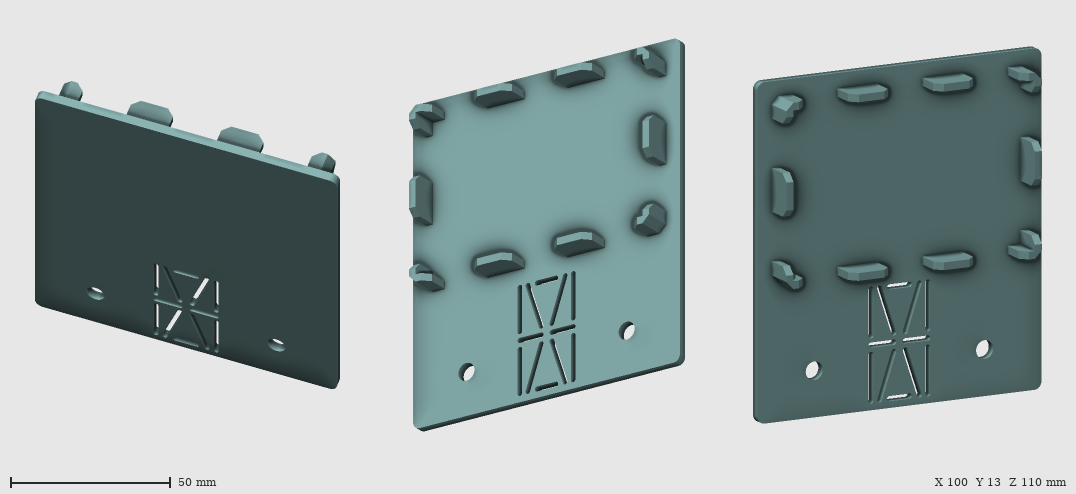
import cadquery as cq
import math

PLATE_WIDTH = 100.0
PLATE_HEIGHT = 110.0
PLATE_THICKNESS = 3.0
PLATE_CORNER_RADIUS = 2.5
MID_X = PLATE_WIDTH / 2

WALL_INSET = 5.0
WALL_THICKNESS = 2.5
WALL_DEPTH = 10.0
WALL_WIDTH = PLATE_WIDTH - 2 * WALL_INSET
WALL_HEIGHT = 60.0
WALL_TOP_Z = PLATE_HEIGHT - WALL_INSET
WALL_MID_Z = WALL_TOP_Z - WALL_HEIGHT / 2
WALL_TIP_Y = PLATE_THICKNESS + WALL_DEPTH
WALL_CORNER_CHAMFER = 2.5

TAB_PITCH = 30.0
TAB_LENGTH = 14.0
GAP_WIDTH = TAB_PITCH - TAB_LENGTH
TAB_CHAMFER = 2.5
GAP_XS = [MID_X + i * TAB_PITCH for i in (-1, 0, 1)]
GAP_ZS = [WALL_MID_Z + i * TAB_PITCH / 2 for i in (-1, 1)]

HOLE_DIAMETER = 6.0
HOLE_SPACING = 60.0
HOLE_Z = 15.0

PATTERN_Z = 21.0
SLOT_WIDTH = 1.68
OUTER_X = 10.0
OUTER_Z = 18.0
MIDDLE_BAR_INNER_X = 2.0
SIDE_SLOT_INNER_Z = 3.0
END_SLOT_HALF_SPAN = 3.5
DIAGONAL_INNER = (2.0, 3.0)
DIAGONAL_OUTER = (7.0, OUTER_Z)


def make_plate():
    plate = cq.Workplane("XY").box(PLATE_WIDTH, PLATE_THICKNESS, PLATE_HEIGHT, centered=False)
    return plate.edges("|Y").fillet(PLATE_CORNER_RADIUS)


def gap_outline(plane_name):
    """Gap profile: u runs along the wall, centred on the gap, v is y."""
    half = GAP_WIDTH / 2
    flared_half = half + TAB_CHAMFER
    flare_y = WALL_TIP_Y - TAB_CHAMFER
    points = [
        (-half, PLATE_THICKNESS),
        (-half, flare_y),
        (-flared_half, WALL_TIP_Y),
        (flared_half, WALL_TIP_Y),
        (half, flare_y),
        (half, PLATE_THICKNESS),
    ]
    if plane_name == "YZ":
        points = [(y, u) for u, y in points]
    return cq.Workplane(plane_name).polyline(points).close()


def make_tabs():
    outer = cq.Workplane("XY").box(WALL_WIDTH, WALL_DEPTH, WALL_HEIGHT)
    outer = outer.edges("|Y").chamfer(WALL_CORNER_CHAMFER)
    inner = cq.Workplane("XY").box(
        WALL_WIDTH - 2 * WALL_THICKNESS, WALL_DEPTH, WALL_HEIGHT - 2 * WALL_THICKNESS
    )
    wall_mid_y = PLATE_THICKNESS + WALL_DEPTH / 2
    tabs = outer.cut(inner).translate((MID_X, wall_mid_y, WALL_MID_Z))

    upright_cutter = gap_outline("XY").extrude(WALL_TOP_Z)
    for x in GAP_XS:
        tabs = tabs.cut(upright_cutter.translate((x, 0, 0)))

    cross_cutter = gap_outline("YZ").extrude(PLATE_WIDTH)
    for z in GAP_ZS:
        tabs = tabs.cut(cross_cutter.translate((0, 0, z)))
    return tabs


def front_face_plane(z):
    """Sketch plane on the front face, centred in x at height z, facing -Y."""
    return cq.Workplane("XZ", origin=(MID_X, 0, z))


def make_holes():
    centres = [(-HOLE_SPACING / 2, 0), (HOLE_SPACING / 2, 0)]
    sketch = front_face_plane(HOLE_Z).pushPoints(centres)
    return sketch.circle(HOLE_DIAMETER / 2).extrude(-PLATE_THICKNESS)


def make_slot(start, end):
    """Round-ended through slot between two end centres, given as offsets from the pattern centre."""
    (x1, z1), (x2, z2) = start, end
    length = math.hypot(x2 - x1, z2 - z1) + SLOT_WIDTH
    angle = math.degrees(math.atan2(z2 - z1, x2 - x1))
    sketch = front_face_plane(PATTERN_Z).center((x1 + x2) / 2, (z1 + z2) / 2)
    return sketch.slot2D(length, SLOT_WIDTH, angle).extrude(-PLATE_THICKNESS)


def cut_slot_pattern(body):
    slots = []
    for side in (-1, 1):
        slots.append(((side * MIDDLE_BAR_INNER_X, 0), (side * OUTER_X, 0)))

        end_z = side * OUTER_Z
        slots.append(((-END_SLOT_HALF_SPAN, end_z), (END_SLOT_HALF_SPAN, end_z)))

        for half in (-1, 1):
            upright_x = side * OUTER_X
            slots.append(((upright_x, half * SIDE_SLOT_INNER_Z), (upright_x, half * OUTER_Z)))
            inner = (side * DIAGONAL_INNER[0], half * DIAGONAL_INNER[1])
            outer = (side * DIAGONAL_OUTER[0], half * DIAGONAL_OUTER[1])
            slots.append((inner, outer))

    for start, end in slots:
        body = body.cut(make_slot(start, end))
    return body


body = make_plate().union(make_tabs())
body = body.cut(make_holes())
result = cut_slot_pattern(body)